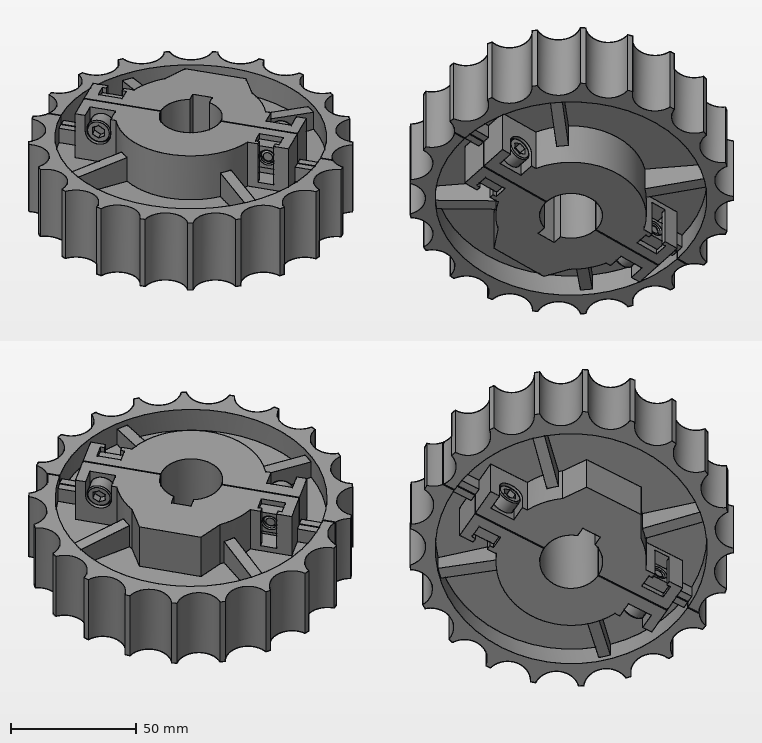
import cadquery as cq
import math

tooth_count = 21
tip_radius = 64.8
gullet_radius = 9.0
root_radius = 58.0
rim_width = 31.5
rim_bore_radius = 54.2
web_thickness = 9.8
split_gap = 0.4

hub_radius = 30.0
hub_width = 51.0
ear_span = 89.1
ear_depth = 24.0
boss_height = 33.4
boss_flat_width = 25.3
boss_flank_angle = 60.0
bore_radius = 12.5
keyway_width = 8.1
keyway_height = 15.9

rib_thickness = 4.8
rib_height_at_hub = 16.0
rib_height_at_rim = 12.9
side_rib_width = 6.2
side_rib_height = 11.6
rib_overlap = 1.3

screw_x = 35.0
screw_z = 18.4
shank_radius = 3.0
screw_hole_diameter = 6.6
head_radius = 5.0
head_height = 6.0
head_chamfer = 0.5
head_slot_width = 10.6
head_seat = 5.3
socket_width = 5.0
socket_depth = 3.0
hexagon_half_step = 30
shank_end = 9.2
tip_chamfer = 1.0
nut_width = 10.0
nut_inner_face = 4.9
nut_outer_face = 9.8
nut_hole_chamfer = 0.5
nut_pocket_inner = 4.5
nut_pocket_outer = 10.1
nut_pocket_floor = 7.5

half_hub = hub_width / 2
ear_face = ear_depth / 2


def prism(sketch_plane, width):
    """Extrude a closed profile evenly to both sides of its plane."""
    return sketch_plane.extrude(width / 2, both=True)


def toothed_disc():
    disc = prism(cq.Workplane("XY").circle(tip_radius), rim_width)
    gullets = prism(
        cq.Workplane("XY")
        .polarArray(root_radius + gullet_radius, 90, 360, tooth_count)
        .circle(gullet_radius),
        2 * rim_width,
    )
    return disc.cut(gullets)


def rim_and_web():
    rim = toothed_disc().cut(prism(cq.Workplane("XY").circle(rim_bore_radius), rim_width))
    web = prism(cq.Workplane("XY").circle(rim_bore_radius), web_thickness)
    return rim.union(web)


def diagonal_rib(angle):
    """Rib whose top and bottom slope down towards the rim."""
    slope = (rib_height_at_rim - rib_height_at_hub) / (rim_bore_radius - hub_radius)
    start = hub_radius - rib_overlap
    end = rim_bore_radius + rib_overlap
    start_height = rib_height_at_hub - slope * rib_overlap
    end_height = rib_height_at_rim + slope * rib_overlap
    rib = prism(
        cq.Workplane("XZ").polyline([
            (start, -start_height),
            (end, -end_height),
            (end, end_height),
            (start, start_height),
        ]).close(),
        rib_thickness,
    )
    return rib.rotate((0, 0, 0), (0, 0, 1), angle)


def side_ribs():
    """Flat-topped bar along X that joins both ears to the rim."""
    return cq.Workplane("XY").box(
        2 * (rim_bore_radius + rib_overlap), side_rib_width, 2 * side_rib_height
    )


def hub():
    barrel = prism(cq.Workplane("XY").circle(hub_radius), hub_width)
    ears = cq.Workplane("XY").box(ear_span, ear_depth, hub_width)
    base_half_width = boss_flat_width / 2 + boss_height / math.tan(math.radians(boss_flank_angle))
    boss = prism(
        cq.Workplane("XY").polyline([
            (-base_half_width, 0),
            (base_half_width, 0),
            (boss_flat_width / 2, boss_height),
            (-boss_flat_width / 2, boss_height),
        ]).close(),
        hub_width,
    )
    return barrel.union(ears).union(boss)


def bore_and_keyway():
    bore = prism(cq.Workplane("XY").circle(bore_radius), hub_width)
    keyway = cq.Workplane("XY").box(keyway_width, keyway_height, hub_width, centered=(True, False, True))
    return bore.union(keyway)


def cylinder_along_y(radius, start, end):
    """Cylinder on the Y axis from y = start to y = end."""
    return cq.Workplane("XZ", origin=(0, start, 0)).circle(radius).extrude(start - end)


def block(width, y_start, y_end, z_start, z_end):
    """Box centred on x = 0 between the given Y and Z limits."""
    return cq.Workplane("XY").box(
        width, y_end - y_start, z_end - z_start, centered=(True, False, False)
    ).translate((0, y_start, z_start))


def fastener_cutout():
    """Room for one screw and nut on a screw axis along Y, head towards -Y, open upwards."""
    top = half_hub - screw_z
    floor = nut_pocket_floor - screw_z
    hole = cylinder_along_y(screw_hole_diameter / 2, -ear_face, ear_face)
    head_recess = cylinder_along_y(head_slot_width / 2, -ear_face, -head_seat)
    head_slot = block(head_slot_width, -ear_face, -head_seat, 0, top)
    nut_pocket = block(nut_width, nut_pocket_inner, nut_pocket_outer, floor, top)
    nut_slot = block(screw_hole_diameter, nut_pocket_outer, ear_face, floor, top)
    return hole.union(head_recess).union(head_slot).union(nut_pocket).union(nut_slot)


def screw():
    """Socket head cap screw along Y, head towards -Y."""
    head = cylinder_along_y(head_radius, -head_seat - head_height, -head_seat)
    head = head.faces("<Y").chamfer(head_chamfer)
    shank = cylinder_along_y(shank_radius, -head_seat, shank_end)
    shank = shank.faces(">Y").chamfer(tip_chamfer)
    socket = (
        cq.Workplane("XZ", origin=(0, -head_seat - head_height, 0))
        .polygon(6, socket_width / math.cos(math.radians(hexagon_half_step)))
        .extrude(-socket_depth)
        .rotate((0, 0, 0), (0, 1, 0), hexagon_half_step)
    )
    return head.union(shank).cut(socket)


def nut():
    """Square nut on the same axis as the screw."""
    body = block(nut_width, nut_inner_face, nut_outer_face, -nut_width / 2, nut_width / 2)
    body = body.cut(cylinder_along_y(shank_radius, nut_inner_face, nut_outer_face))
    return body.faces(">Y").edges("%CIRCLE").chamfer(nut_hole_chamfer)


def at_fastener_places(shape):
    """Four copies: heads towards -Y on the -X ear and towards +Y on the +X ear, above and below."""
    upper = shape.translate((-screw_x, 0, screw_z))
    lower = upper.mirror("XY")
    copies = []
    for copy in (upper, lower):
        copies.append(copy)
        copies.append(copy.rotate((0, 0, 0), (0, 0, 1), 180))
    return copies


def wheel():
    body = rim_and_web().union(side_ribs())
    for angle in (45, 135, 225, 315):
        body = body.union(diagonal_rib(angle))
    body = body.union(hub()).cut(bore_and_keyway())
    for cutout in at_fastener_places(fastener_cutout()):
        body = body.cut(cutout)
    return body


def wheel_half(whole, side):
    """Half of the wheel on the +Y (side = 1) or -Y (side = -1) side of the split."""
    size = 2 * tip_radius
    keep = cq.Workplane("XY").box(size, size, size).translate((0, side * (size + split_gap) / 2, 0))
    return whole.intersect(keep)


whole_wheel = wheel()
keyed_half = wheel_half(whole_wheel, 1)
plain_half = wheel_half(whole_wheel, -1)
screws = at_fastener_places(screw())
nuts = at_fastener_places(nut())

result = cq.Compound.makeCompound(
    [
        keyed_half.val(),
        plain_half.val(),
        *[item.val() for item in screws],
        *[item.val() for item in nuts],
    ]
)